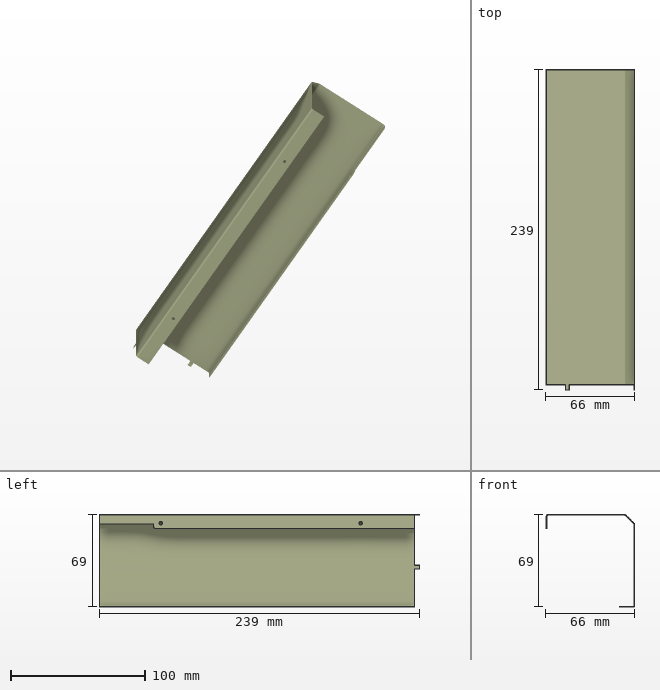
import cadquery as cq

width = 66.0
length = 239.0
height = 69.0

thickness = 0.4
bend_radius = 1.5
chamfer = 7.0
lip_height = 10.3
flange_width = 11.2

tab_length = 3.8
tab_width = 2.9
top_tab_x = 15.8
side_tab_z = 29.9
sheet_front = tab_length

notch_length = 40.6
notched_lip_height = 7.0
notch_corner_radius = 1.2

hole_diameter = 2.5
hole_from_bend = 6.5
hole_ys = (sheet_front + 40.2, length - 46.0)


def block(x_range, y_range, z_range):
    """Axis-aligned box from its limits along each axis."""
    size = [high - low for low, high in (x_range, y_range, z_range)]
    corner = (x_range[0], y_range[0], z_range[0])
    return cq.Workplane("XY").box(*size, centered=False).translate(corner)


def bent_sheet():
    """Closed bent tube, opened at the lower left to leave the lip and flange."""
    sheet_length = length - sheet_front
    outer = (
        cq.Workplane("XZ", origin=(0, length, 0))
        .polyline([
            (0, 0),
            (width, 0),
            (width, height - chamfer),
            (width - chamfer, height),
            (0, height),
        ])
        .close()
        .extrude(sheet_length)
        .edges("|Y")
        .fillet(bend_radius)
    )
    inner = (
        outer.faces("<Y")
        .wires()
        .toPending()
        .offset2D(-thickness)
        .extrude(-sheet_length, combine=False)
    )
    opening = block((0, width - flange_width), (sheet_front, length), (0, height - lip_height))
    return outer.cut(inner).cut(opening)


def lip_notch():
    """Cutter that shortens the rear of the lip."""
    return block(
        (0, thickness),
        (length - notch_length, length),
        (height - lip_height, height - notched_lip_height),
    )


def front_tabs():
    """One tab in the plane of the top panel and one in the plane of the side wall."""
    half = tab_width / 2
    tab_y = (0, sheet_front)
    top_tab = block((top_tab_x - half, top_tab_x + half), tab_y, (height - thickness, height))
    side_tab = block((width - thickness, width), tab_y, (side_tab_z - half, side_tab_z + half))
    return top_tab, side_tab


def hole_cutter(y):
    """Lip hole along X and flange hole along Z at the given Y."""
    radius = hole_diameter / 2
    lip_centre = cq.Vector(0, y, height - hole_from_bend)
    flange_centre = cq.Vector(width - hole_from_bend, y, 0)
    lip_hole = cq.Solid.makeCylinder(radius, thickness, lip_centre, cq.Vector(1, 0, 0))
    flange_hole = cq.Solid.makeCylinder(radius, thickness, flange_centre, cq.Vector(0, 0, 1))
    return cq.Workplane(lip_hole).add(flange_hole).combine()


result = bent_sheet().cut(lip_notch())

step_corner = cq.selectors.NearestToPointSelector(
    (thickness / 2, length - notch_length, height - lip_height)
)
result = result.edges("|X").edges(step_corner).fillet(notch_corner_radius)

for tab in front_tabs():
    result = result.union(tab)

for hole_y in hole_ys:
    result = result.cut(hole_cutter(hole_y))